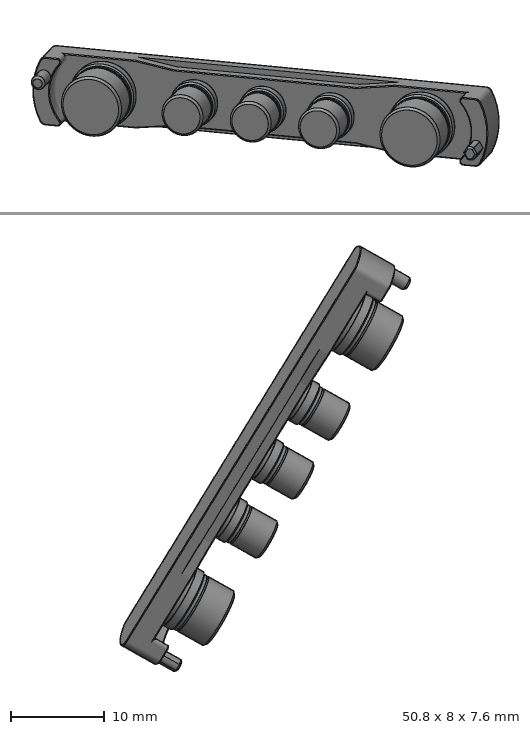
import cadquery as cq
import math

LENGTH = 50.8
HEIGHT = 7.6
DEPTH = 8.0

FLOOR_DEPTH = 2.5
FOOT_DEPTH = 4.3
END_RADIUS = 7.6
END_CORNER_RADIUS = 0.7
FOOT_THICKNESS = 1.9
FOOT_INNER_RADIUS = 4.85
FOOT_CORNER_RADIUS = 0.4
FOOT_ROOT_RADIUS = 0.2
EDGE_CHAMFER = 0.1

WAIST_HEIGHT = 6.3
WAIST_HALF_LENGTH = 10.15
WAIST_END_HALF_LENGTH = 14.5
LEDGE_DEPTH = 1.3

BIG_BUTTON_RADIUS = 3.35
BIG_BUTTON_X = (-17.8, 17.8)
SMALL_BUTTON_RADIUS = 2.3
SMALL_BUTTON_X = (-7.6, 0.0, 7.6)
BUTTON_CHAMFER = 0.25
RIB_STEP = 0.2
RIB_START = 3.0
RIB_END = 3.9
RIB_CHAMFER_END = 4.05
NECK_STEP = 0.1
NECK_START = 4.4
NECK_END = 4.6

PIN_X = 24.15
PIN_Z = 1.65
PIN_RADIUS = 0.75
PIN_TIP_DEPTH = 6.65
ROUND_PIN_CHAMFER = 0.25
DIAMOND_PIN_CHAMFER = 0.2
DIAMOND_SIDE_ANGLE = 60.0

half_length = LENGTH / 2
half_height = HEIGHT / 2
foot_wall_x = half_length - FOOT_THICKNESS


def front_plane(depth):
    """Plane at the given distance in front of the back face, facing -Y."""
    return cq.Workplane("XZ", origin=(0, -depth, 0))


def make_bar(depth, end_x, end_radius):
    """Bar between both long sides whose ends bow out to +-end_x."""
    bow = end_radius - math.sqrt(end_radius**2 - half_height**2)
    corner_x = end_x - bow
    return (
        front_plane(0)
        .moveTo(-corner_x, half_height)
        .lineTo(corner_x, half_height)
        .threePointArc((end_x, 0), (corner_x, -half_height))
        .lineTo(-corner_x, -half_height)
        .threePointArc((-end_x, 0), (-corner_x, half_height))
        .close()
        .extrude(depth)
    )


def make_rounded_bar(depth):
    """Bar of the full length with rounded end corners."""
    return make_bar(depth, half_length, END_RADIUS).edges("|Y").fillet(END_CORNER_RADIUS)


def make_waist_cut():
    """Flared notch along the top long side, in front of the ledge."""
    waist_z = WAIST_HEIGHT / 2
    return (
        front_plane(LEDGE_DEPTH)
        .polyline(
            [
                (-WAIST_END_HALF_LENGTH, half_height),
                (-WAIST_HALF_LENGTH, waist_z),
                (WAIST_HALF_LENGTH, waist_z),
                (WAIST_END_HALF_LENGTH, half_height),
            ]
        )
        .close()
        .extrude(FLOOR_DEPTH - LEDGE_DEPTH)
    )


def make_plate():
    """Waisted plate up to the floor, with its front and back edges broken."""
    waist_cut = make_waist_cut()
    plate = make_rounded_bar(FLOOR_DEPTH).cut(waist_cut).cut(waist_cut.mirror("XY"))
    return plate.faces("<Y or >Y").chamfer(EDGE_CHAMFER)


def make_feet():
    """Both end feet: the bar with its middle removed by a bow-ended opening."""
    opening = make_bar(FOOT_DEPTH, foot_wall_x, FOOT_INNER_RADIUS)
    feet = make_rounded_bar(FOOT_DEPTH).cut(opening)
    inner_x = foot_wall_x - FOOT_INNER_RADIUS + math.sqrt(FOOT_INNER_RADIUS**2 - half_height**2)
    for corner_x in (-inner_x, inner_x):
        for corner_z in (-half_height, half_height):
            corner = cq.NearestToPointSelector((corner_x, -FOOT_DEPTH / 2, corner_z))
            feet = feet.edges(corner).fillet(FOOT_CORNER_RADIUS)
    return feet.faces("<Y or >Y").chamfer(EDGE_CHAMFER)


def round_foot_roots(body):
    """Fillet between the floor and the concave wall of each foot."""
    for wall_x in (-foot_wall_x, foot_wall_x):
        root = cq.NearestToPointSelector((wall_x, -FLOOR_DEPTH, 0))
        body = body.edges(root).fillet(FOOT_ROOT_RADIUS)
    return body


def make_button(radius, x):
    """Round button with a rib near its root and a chamfered tip."""
    outline = [
        (0, FLOOR_DEPTH),
        (radius, FLOOR_DEPTH),
        (radius, RIB_START),
        (radius + RIB_STEP, RIB_START),
        (radius + RIB_STEP, RIB_END),
        (radius, RIB_CHAMFER_END),
        (radius, NECK_START),
        (radius - NECK_STEP, NECK_START),
        (radius - NECK_STEP, NECK_END),
        (radius, NECK_END),
        (radius, DEPTH - BUTTON_CHAMFER),
        (radius - BUTTON_CHAMFER, DEPTH),
        (0, DEPTH),
    ]
    points = [(r, -depth) for r, depth in outline]
    button = cq.Workplane("XY").polyline(points).close().revolve(360, (0, 0), (0, 1))
    return button.translate((x, 0, 0))


def make_round_pin():
    pin = front_plane(FLOOR_DEPTH).circle(PIN_RADIUS).extrude(PIN_TIP_DEPTH - FLOOR_DEPTH)
    pin = pin.faces("<Y").chamfer(ROUND_PIN_CHAMFER)
    return pin.translate((-PIN_X, 0, PIN_Z))


def draw_diamond(plane, radius):
    """Circle trimmed by four flats that meet at its side corners."""
    flat_end_x = radius * math.cos(math.radians(DIAMOND_SIDE_ANGLE))
    flat_end_z = radius * math.sin(math.radians(DIAMOND_SIDE_ANGLE))
    return (
        plane.moveTo(-radius, 0)
        .lineTo(-flat_end_x, flat_end_z)
        .threePointArc((0, radius), (flat_end_x, flat_end_z))
        .lineTo(radius, 0)
        .lineTo(flat_end_x, -flat_end_z)
        .threePointArc((0, -radius), (-flat_end_x, -flat_end_z))
        .close()
    )


def make_diamond_pin():
    """Diamond shank with a tapered tip."""
    shank_end = PIN_TIP_DEPTH - DIAMOND_PIN_CHAMFER
    shank = draw_diamond(front_plane(FLOOR_DEPTH), PIN_RADIUS).extrude(shank_end - FLOOR_DEPTH)
    tip_base = draw_diamond(front_plane(shank_end), PIN_RADIUS).workplane(offset=DIAMOND_PIN_CHAMFER)
    tip = draw_diamond(tip_base, PIN_RADIUS - DIAMOND_PIN_CHAMFER).loft(ruled=True)
    return shank.union(tip).translate((PIN_X, 0, -PIN_Z))


result = round_foot_roots(make_plate().union(make_feet()))

for button_x in BIG_BUTTON_X:
    result = result.union(make_button(BIG_BUTTON_RADIUS, button_x))
for button_x in SMALL_BUTTON_X:
    result = result.union(make_button(SMALL_BUTTON_RADIUS, button_x))

result = result.union(make_round_pin()).union(make_diamond_pin())